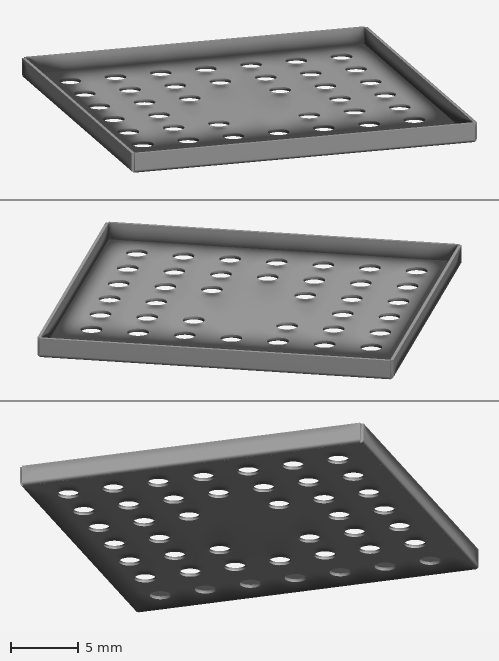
import cadquery as cq

side = 26.9
height = 1.53
wall = 0.25
floor = 0.25
corner_notch = 0.22
bend_radius = 0.25
hole_diameter = 1.6
hole_pitch = 3.52
holes_per_side = 7
blank_reach = 1


def channel():
    """Floor with its two X walls, rounded along the bends and stopping short of the corners."""
    body = cq.Workplane("XY").box(side, side - 2 * corner_notch, height, centered=(True, True, False))
    return body.edges("|Y and <Z").fillet(bend_radius)


def tray():
    """Open folded tray: crossing channels leave a small square notch at each upright corner."""
    body = channel().union(channel().rotate((0, 0, 0), (0, 0, 1), 90))
    inner_side = side - 2 * wall
    cavity = (
        cq.Workplane("XY")
        .workplane(offset=floor)
        .rect(inner_side, inner_side)
        .extrude(height - floor)
    )
    return body.cut(cavity)


def hole_centres():
    """Square grid of centres, without the plus-shaped group in the middle."""
    reach = holes_per_side // 2
    steps = range(-reach, reach + 1)
    return [
        (column * hole_pitch, row * hole_pitch)
        for column in steps
        for row in steps
        if abs(column) + abs(row) > blank_reach
    ]


holes = cq.Workplane("XY").pushPoints(hole_centres()).circle(hole_diameter / 2).extrude(height)
result = tray().cut(holes)